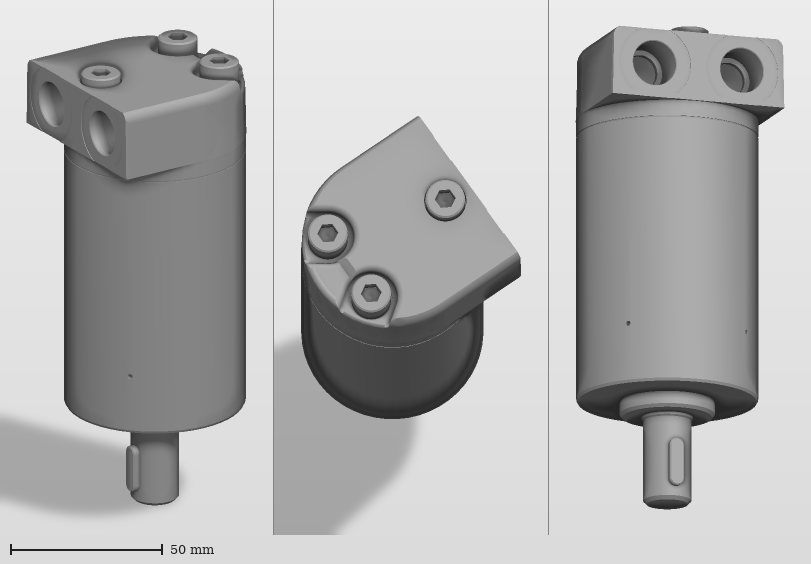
import cadquery as cq
import math


body_diameter = 60.0
body_radius = body_diameter / 2
body_height = 95.2
body_chamfer_height = 0.9
body_chamfer_width = 0.5
groove_width = 0.5
groove_depth = 0.3
groove_height = 89.4
pilot_diameter = 31.4
pilot_height = 5.2
pilot_chamfer = 1.0
pilot_relief_height = 0.5
pilot_relief_depth = 0.25

side_hole_diameter = 1.72
side_hole_depth = 2.0
side_hole_height = 20.0
side_hole_angles = (225.0, 311.0)

head_height = 23.0
head_bottom = body_height
head_top = head_bottom + head_height
head_bottom_width = 60.29
head_draft_angle = 1.2
head_length = 61.0
head_front_y = head_bottom_width / 2 - head_length
main_rim_height = 3.7
main_rim_width = 1.9
corner_chamfer_width = 0.2
corner_chamfer_length = 1.1

ledge_drop = 2.1
ledge_top = head_top - ledge_drop
ledge_rim_height = 1.4
ledge_rim_width = 2.3
step_start_y = 16.5
step_end_y = 19.2
step_middle_y = (step_start_y + step_end_y) / 2

port_spacing = 30.5
port_height = head_bottom + head_height / 2
port_bore_diameter = 14.95
port_mouth_diameter = 15.5
port_depth = 14.0
port_core_diameter = 11.6
port_core_depth = 2.0
drill_point_angle = 118.0
spotface_diameter = 25.1
spotface_depth = 0.2

screw_circle_radius = 21.25
screw_head_diameter = 13.0
screw_rise = 2.9
screw_top = head_top + screw_rise
screw_chamfer_width = 0.55
screw_chamfer_height = 0.45
screw_recess_diameter = 13.95
screw_seat = head_top - 6.0
rear_screw_angles = (54.0, 126.0)
screw_angles = (*rear_screw_angles, 270.0)
hex_width = 6.0
hex_depth = 4.0

pocket_depth = 5.0
pocket_floor = head_top - pocket_depth
pocket_floor_radius = 7.2
pocket_wall_radius = 8.7
pocket_floor_fillet = pocket_wall_radius - pocket_floor_radius
pocket_edge_round = 1.95
pocket_length = 20.0

shaft_diameter = 16.0
shaft_radius = shaft_diameter / 2
shaft_end = -34.65
shaft_chamfer = 1.2
collar_diameter = 16.98
collar_height = 1.3
collar_chamfer = (collar_diameter - shaft_diameter) / 2
key_width = 5.0
key_length = 16.0
key_thickness = 5.0
key_protrusion = 2.0
key_outer_y = -shaft_radius - key_protrusion
key_centre_z = -22.3
key_chamfer = 0.4

clearance = 5.0


def polar(radius, degrees):
    """Point on a circle about the motor axis."""
    angle = math.radians(degrees)
    return (radius * math.cos(angle), radius * math.sin(angle))


def cylinder(diameter, bottom, top):
    """Cylinder on the motor axis between two heights."""
    return cq.Workplane("XY").workplane(offset=bottom).circle(diameter / 2).extrude(top - bottom)


def cone(diameter, depth):
    """Cone that starts at z = 0 and ends in a point below it."""
    return cq.Workplane("XZ").polyline([(0, 0), (diameter / 2, 0), (0, -depth)]).close().revolve()


def head_side_radius(z):
    """Half width of the drafted head at a height."""
    draft = math.tan(math.radians(head_draft_angle))
    return head_bottom_width / 2 - (z - head_bottom) * draft


def half_profile(top, rim_height, rim_width):
    """Half section of the head: drafted side, then an arched rim that meets the flat top."""
    rim_start_z = top - rim_height
    side = head_side_radius(rim_start_z)
    arc_radius = (rim_height**2 + rim_width**2) / (2 * rim_width)
    half_angle = math.asin(rim_height / arc_radius) / 2
    arc_middle = (
        side - arc_radius * (1 - math.cos(half_angle)),
        rim_start_z + arc_radius * math.sin(half_angle),
    )
    return (
        cq.Workplane("XZ")
        .moveTo(0, head_bottom)
        .lineTo(head_bottom_width / 2, head_bottom)
        .lineTo(side, rim_start_z)
        .threePointArc(arc_middle, (side - rim_width, top))
        .lineTo(0, top)
        .close()
    )


def round_head(top, rim_height, rim_width):
    """Head section revolved round the motor axis."""
    return half_profile(top, rim_height, rim_width).revolve()


def corner_cut():
    """Shallow chamfer down the vertical front corner on the +X side, following the draft."""
    def triangle(z):
        side = head_side_radius(z)
        corner = (side + clearance, head_front_y - clearance)
        slope_x = corner_chamfer_width * clearance / corner_chamfer_length
        slope_y = corner_chamfer_length * clearance / corner_chamfer_width
        start = (side + clearance, head_front_y + corner_chamfer_length + slope_y)
        end = (side - corner_chamfer_width - slope_x, head_front_y - clearance)
        return [start, end, corner]

    return (
        cq.Workplane("XY").workplane(offset=head_bottom).polyline(triangle(head_bottom)).close()
        .workplane(offset=head_height).polyline(triangle(head_top)).close()
        .loft(ruled=True)
    )


def pocket_half_profile(workplane, top):
    """Half section of a screw pocket: flat floor, floor fillet, upright wall, rounded upper edge."""
    diagonal = math.sqrt(0.5)
    fillet_centre_z = pocket_floor + pocket_floor_fillet
    round_centre_x = pocket_wall_radius + pocket_edge_round
    round_centre_z = top - pocket_edge_round
    fillet_middle = (
        pocket_floor_radius + pocket_floor_fillet * diagonal,
        fillet_centre_z - pocket_floor_fillet * diagonal,
    )
    round_middle = (
        round_centre_x - pocket_edge_round * diagonal,
        round_centre_z + pocket_edge_round * diagonal,
    )
    return (
        workplane.moveTo(0, pocket_floor)
        .lineTo(pocket_floor_radius, pocket_floor)
        .threePointArc(fillet_middle, (pocket_wall_radius, fillet_centre_z))
        .lineTo(pocket_wall_radius, round_centre_z)
        .threePointArc(round_middle, (round_centre_x, top))
        .lineTo(round_centre_x, top + clearance)
        .lineTo(0, top + clearance)
        .close()
    )


def screw_pocket(angle, top):
    """Pocket round a rear screw that runs out through the rim of the head."""
    bowl = pocket_half_profile(cq.Workplane("XZ"), top).revolve()
    half_channel = pocket_half_profile(cq.Workplane("XZ"), top).extrude(-pocket_length)
    pocket = bowl.union(half_channel).union(half_channel.mirror("YZ"))
    return pocket.translate((0, screw_circle_radius, 0)).rotate((0, 0, 0), (0, 0, 1), angle - 90)


def pocket_rim_cut(angle):
    """Arched rim where the floor of a screw pocket meets the side of the head."""
    mouth = (
        cq.Workplane("XY").workplane(offset=pocket_floor - ledge_rim_height)
        .center(0, screw_circle_radius + pocket_length / 2)
        .rect(2 * pocket_floor_radius, pocket_length)
        .extrude(ledge_rim_height)
        .rotate((0, 0, 0), (0, 0, 1), angle - 90)
    )
    return mouth.cut(round_head(pocket_floor, ledge_rim_height, ledge_rim_width))


def port(x):
    """Spot-faced port bore that ends in a narrower core with a drill point, entering along +Y."""
    tip_depth = port_core_diameter / 2 / math.tan(math.radians(drill_point_angle / 2))
    mouth_depth = spotface_depth + (port_mouth_diameter - port_bore_diameter) / 2
    core_end = port_depth + port_core_depth
    return (
        cq.Workplane("XY")
        .polyline([
            (0, 0),
            (spotface_diameter / 2, 0),
            (spotface_diameter / 2, spotface_depth),
            (port_mouth_diameter / 2, spotface_depth),
            (port_bore_diameter / 2, mouth_depth),
            (port_bore_diameter / 2, port_depth),
            (port_core_diameter / 2, port_depth),
            (port_core_diameter / 2, core_end),
            (0, core_end + tip_depth),
        ])
        .close()
        .revolve(360, (0, 0, 0), (0, 1, 0))
        .translate((x, head_front_y, port_height))
    )


def rear_region():
    """Everything behind the sloping step that leads down to the ledge."""
    far_y = body_radius + clearance
    return (
        cq.Workplane("YZ")
        .polyline([
            (step_middle_y, head_bottom),
            (step_middle_y, ledge_top - ledge_drop),
            (step_end_y, ledge_top),
            (step_start_y, head_top),
            (step_start_y, head_top + clearance),
            (far_y, head_top + clearance),
            (far_y, head_bottom),
        ])
        .close()
        .extrude(far_y, both=True)
    )


def make_head():
    half = half_profile(head_top, main_rim_height, main_rim_width).extrude(-head_front_y)
    main = half.union(half.mirror("YZ")).union(round_head(head_top, main_rim_height, main_rim_width))
    corner = corner_cut()
    main = main.cut(corner).cut(corner.mirror("YZ"))
    ledge = round_head(ledge_top, ledge_rim_height, ledge_rim_width)
    for angle in rear_screw_angles:
        main = main.cut(screw_pocket(angle, head_top))
        ledge = ledge.cut(screw_pocket(angle, ledge_top))
    rear = rear_region()
    head = main.cut(rear).union(ledge.intersect(rear))
    for angle in rear_screw_angles:
        head = head.cut(pocket_rim_cut(angle))
    for x in (-port_spacing / 2, port_spacing / 2):
        head = head.cut(port(x))
    return head


def screw_recess(angle):
    """Round recess in the head that leaves a narrow gap round a cap screw."""
    return (
        cylinder(screw_recess_diameter, screw_seat, head_top)
        .translate(polar(screw_circle_radius, angle) + (0,))
    )


def screw_head(angle):
    """Cylindrical head of a cap screw, standing on its seat."""
    return (
        cq.Workplane("XY").workplane(offset=screw_seat)
        .circle(screw_head_diameter / 2)
        .extrude(screw_top - screw_seat)
        .faces(">Z").edges().chamfer(screw_chamfer_height, screw_chamfer_width)
        .translate(polar(screw_circle_radius, angle) + (0,))
    )


def hex_socket(angle):
    """Hexagon socket with a drill point, sunk into the top of a cap screw."""
    hex_corner_diameter = hex_width / math.cos(math.pi / 6)
    socket = cq.Workplane("XY").polygon(6, hex_corner_diameter).extrude(hex_depth)
    point_depth = hex_width / 2 / math.tan(math.radians(drill_point_angle / 2))
    point = cone(hex_width, point_depth)
    return socket.union(point).translate(polar(screw_circle_radius, angle) + (screw_top - hex_depth,))


def side_hole(angle):
    """Small radial hole in the side wall of the housing."""
    return (
        cq.Workplane("YZ").workplane(offset=body_radius - side_hole_depth)
        .center(0, side_hole_height)
        .circle(side_hole_diameter / 2)
        .extrude(side_hole_depth + clearance)
        .rotate((0, 0, 0), (0, 0, 1), angle)
    )


def make_housing():
    body = cylinder(body_diameter, 0, body_height)
    body = body.faces("<Z").edges().chamfer(body_chamfer_height, body_chamfer_width)
    groove_core = cylinder(body_diameter - 2 * groove_depth, groove_height, groove_height + groove_width)
    groove = cylinder(body_diameter + clearance, groove_height, groove_height + groove_width)
    body = body.cut(groove.cut(groove_core))
    pilot = cylinder(pilot_diameter, -pilot_height, 0).faces("<Z").edges().chamfer(pilot_chamfer)
    relief_core = cylinder(pilot_diameter - 2 * pilot_relief_depth, -pilot_relief_height, 0)
    relief = cylinder(pilot_diameter + clearance, -pilot_relief_height, 0)
    pilot = pilot.cut(relief.cut(relief_core))
    housing = body.union(pilot).union(make_head())
    for angle in screw_angles:
        housing = housing.cut(screw_recess(angle)).union(screw_head(angle)).cut(hex_socket(angle))
    for angle in side_hole_angles:
        housing = housing.cut(side_hole(angle))
    return housing


def key_block():
    """Round-ended block that is both the blank of the key and the shape of its keyway."""
    return (
        cq.Workplane("XZ", origin=(0, key_outer_y, key_centre_z))
        .slot2D(key_length, key_width, 90)
        .extrude(-key_thickness)
    )


def make_key():
    """Key whose outer face is chamfered."""
    return key_block().faces("<Y").edges().chamfer(key_chamfer)


def make_shaft():
    """Shaft below the pilot, with a short collar against it and a keyway that fits the key."""
    shaft = cylinder(shaft_diameter, shaft_end, -pilot_height).faces("<Z").edges().chamfer(shaft_chamfer)
    collar = cylinder(collar_diameter, -pilot_height - collar_height, -pilot_height)
    collar = collar.faces("<Z").edges().chamfer(collar_chamfer)
    return shaft.union(collar).cut(key_block())


housing = make_housing()
shaft = make_shaft()
key = make_key()

result = cq.Compound.makeCompound([housing.val(), shaft.val(), key.val()])